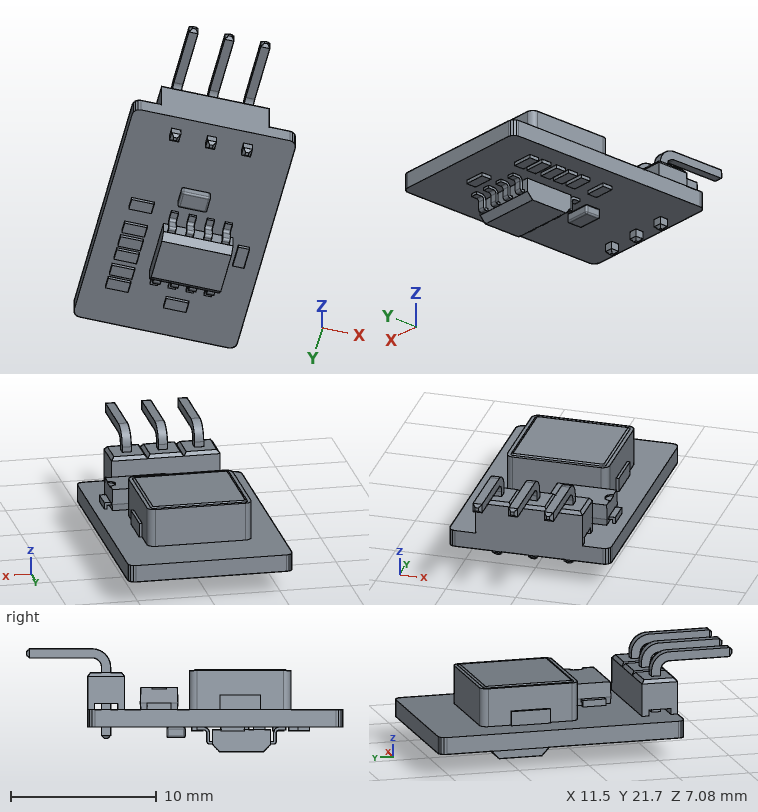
import cadquery as cq
import math


board_width = 11.54
board_length = 17.54
board_thickness = 1.2
board_corner_radius = 0.5
board_corner_facets = 4

pin_count = 3
pin_pitch = 2.54
pin_size = 0.64
pin_bend_radius = 1.5 * pin_size
pin_rise = 4.19
pin_reach_beyond_board = 4.2
pin_tail = 0.78
pin_tip_length = 0.22
pin_tip_inset = 0.2
header_height = 2.54
header_chamfer_height = 0.25
header_chamfer_inset = 0.2
header_slot_width = 1.58
header_slot_height = 0.42
header_y = pin_pitch / 2

inductor_width = 7.3
inductor_length = 6.97
inductor_height = 2.68
inductor_corner_radius = 0.5
inductor_y = 10.48
lid_inset = 0.26
lid_slope_inset = 0.15
lid_height = 0.08
lid_corner_radius = 0.2
terminal_span = 7.7
terminal_width = 2.78
terminal_height = 1.0

diode_x = 2.4
diode_y = 4.91
diode_width = 4.3
diode_length = 2.6
diode_height = 1.53
diode_split_height = 0.46
diode_draft_inset = 0.04
diode_lead_span = 5.2
diode_lead_width = 1.65
diode_lead_thickness = 0.2
diode_mark_radius = 0.5
diode_mark_depth = 0.1

ic_x = 0.91
ic_y = 10.57
ic_width = 4.92
ic_length = 4.0
ic_gap = 0.17
ic_depth = 1.69
ic_chamfer_depth = 0.51
ic_chamfer_inset = 0.48
ic_lead_count = 4
ic_lead_pitch = 1.27
ic_lead_width = 0.52
ic_lead_thickness = 0.2
ic_lead_depth = 1.17
ic_lead_bend_span = 4.78
ic_foot_span = 6.1
ic_lead_bend_radius = 0.2

capacitor_y = 6.07
capacitor_width = 2.03
capacitor_length = 1.27
capacitor_height = 0.72
capacitor_edge_radius = 0.13

chip_length = 1.6
chip_width = 0.8
chip_height = 0.26
chip_column_x = -3.36
chip_column_ys = [7.54, 9.53, 10.68, 11.79, 13.1, 14.21]
rear_chip_x = 0.9
rear_chip_y = 14.85
side_chip_x = 4.29
side_chip_y = 9.97


def block(width, length, height, x, y, z):
    """Box centred on (x, y) that stands on height z."""
    return cq.Workplane("XY").box(width, length, height, (True, True, False)).translate((x, y, z))


def frustum(width, length, height, inset, x, y, z):
    """Tapered block standing on z; its far end is smaller by the inset on every side.

    A negative height makes it taper downward."""
    return (
        cq.Workplane("XY", origin=(x, y, z))
        .rect(width, length)
        .workplane(offset=height)
        .rect(width - 2 * inset, length - 2 * inset)
        .loft(ruled=True)
    )


def make_board():
    """Board whose rounded corners are made of flat facets."""
    points = []
    corner_signs = [(1, 1), (-1, 1), (-1, -1), (1, -1)]
    for quarter, (sign_x, sign_y) in enumerate(corner_signs):
        centre_x = sign_x * (board_width / 2 - board_corner_radius)
        centre_y = board_length / 2 + sign_y * (board_length / 2 - board_corner_radius)
        for facet in range(board_corner_facets + 1):
            angle = math.pi / 2 * (quarter + facet / board_corner_facets)
            x = centre_x + board_corner_radius * math.cos(angle)
            y = centre_y + board_corner_radius * math.sin(angle)
            points.append((x, y))
    return cq.Workplane("XY").polyline(points).close().extrude(board_thickness)


def make_pin(x):
    """Square pin that rises through the board, bends forward and ends in tapered tips."""
    tip_size = pin_size - 2 * pin_tip_inset
    axis_z = board_thickness + pin_rise - pin_size / 2
    bend_z = axis_z - pin_bend_radius
    bend_y = header_y - pin_bend_radius
    tail_z = -pin_tail + pin_tip_length
    front_y = -pin_reach_beyond_board + pin_tip_length
    diagonal = pin_bend_radius * math.sqrt(0.5)
    path = (
        cq.Workplane("YZ", origin=(x, 0, 0))
        .moveTo(header_y, tail_z)
        .lineTo(header_y, bend_z)
        .threePointArc((bend_y + diagonal, bend_z + diagonal), (bend_y, axis_z))
        .lineTo(front_y, axis_z)
    )
    shaft = cq.Workplane("XY", origin=(x, header_y, tail_z)).rect(pin_size, pin_size).sweep(path)
    tail_tip = frustum(pin_size, pin_size, -pin_tip_length, pin_tip_inset, x, header_y, tail_z)
    front_tip = (
        cq.Workplane("XZ", origin=(x, front_y, axis_z))
        .rect(pin_size, pin_size)
        .workplane(offset=pin_tip_length)
        .rect(tip_size, tip_size)
        .loft(ruled=True)
    )
    return shaft.union(tail_tip).union(front_tip)


def make_header():
    """Header housing with a chamfered top over each pin and a slot beneath, plus its pins."""
    wall_height = header_height - header_chamfer_height
    housing_width = pin_count * pin_pitch
    pin_xs = [(i - (pin_count - 1) / 2) * pin_pitch for i in range(pin_count)]
    header = block(housing_width, pin_pitch, wall_height, 0, header_y, board_thickness)
    chamfer_z = board_thickness + wall_height
    for x in pin_xs:
        top = frustum(
            pin_pitch, pin_pitch, header_chamfer_height, header_chamfer_inset, x, header_y, chamfer_z
        )
        header = header.union(top)
    slot = block(housing_width, header_slot_width, header_slot_height, 0, header_y, board_thickness)
    header = header.cut(slot)
    for x in pin_xs:
        header = header.union(make_pin(x))
    return header


def make_inductor():
    """Rounded square inductor with a slightly raised lid and a terminal on each side."""
    top_z = board_thickness + inductor_height
    body = block(inductor_width, inductor_length, inductor_height, 0, inductor_y, board_thickness)
    body = body.edges("|Z").fillet(inductor_corner_radius)
    lid_width = inductor_width - 2 * lid_inset
    lid_length = inductor_length - 2 * lid_inset
    lid_taper = math.degrees(math.atan2(lid_slope_inset, lid_height))
    lid = (
        cq.Workplane("XY", origin=(0, inductor_y, top_z))
        .sketch()
        .rect(lid_width, lid_length)
        .vertices()
        .fillet(lid_corner_radius)
        .finalize()
        .extrude(lid_height, taper=lid_taper)
    )
    terminals = block(terminal_span, terminal_width, terminal_height, 0, inductor_y, board_thickness)
    return body.union(lid).union(terminals)


def make_diode():
    """Drafted diode body with a round polarity mark and a folded lead at each end."""
    split_z = board_thickness + diode_split_height
    upper_height = diode_height - diode_split_height
    body = frustum(
        diode_width, diode_length, upper_height, diode_draft_inset, diode_x, diode_y, split_z
    )
    lower = frustum(
        diode_width, diode_length, -diode_split_height, diode_draft_inset, diode_x, diode_y, split_z
    )
    mark = (
        cq.Workplane("XY", origin=(diode_x + diode_width / 2, diode_y, board_thickness + diode_height))
        .circle(diode_mark_radius)
        .extrude(-diode_mark_depth)
    )
    leads = block(
        diode_lead_span, diode_lead_width, diode_split_height, diode_x, diode_y, board_thickness
    )
    lead_opening = block(
        diode_lead_span - 2 * diode_lead_thickness,
        diode_lead_width,
        diode_split_height - diode_lead_thickness,
        diode_x,
        diode_y,
        board_thickness,
    )
    return leads.cut(lead_opening).union(body).union(lower).cut(mark)


def make_ic_lead_pair(x):
    """Opposite pair of leads: out of the body, up to the board and outward as feet."""
    half_body = ic_length / 2
    outer_y = ic_lead_bend_span / 2
    inner_y = outer_y - ic_lead_thickness
    foot_y = ic_foot_span / 2
    inner_z = -ic_lead_depth + ic_lead_thickness
    profile = [
        (half_body, -ic_lead_depth),
        (outer_y, -ic_lead_depth),
        (outer_y, -ic_lead_thickness),
        (foot_y, -ic_lead_thickness),
        (foot_y, 0),
        (inner_y, 0),
        (inner_y, inner_z),
        (half_body, inner_z),
    ]
    lead = (
        cq.Workplane("YZ", origin=(x - ic_lead_width / 2, 0, 0))
        .polyline(profile)
        .close()
        .extrude(ic_lead_width)
    )
    bends = [
        (outer_y, -ic_lead_depth, ic_lead_bend_radius),
        (outer_y, -ic_lead_thickness, ic_lead_bend_radius),
        (inner_y, 0, ic_lead_bend_radius + ic_lead_thickness),
    ]
    for bend_y, bend_z, radius in bends:
        bend_edge = cq.NearestToPointSelector((x, bend_y, bend_z))
        lead = lead.edges("|X").edges(bend_edge).fillet(radius)
    pair = lead.union(lead.mirror("XZ"))
    return pair.translate((0, ic_y, 0))


def make_ic():
    """IC body with sloped lower flanks, carried under the board by its leads."""
    half_length = ic_length / 2
    half_bottom = half_length - ic_chamfer_inset
    chamfer_z = -ic_depth + ic_chamfer_depth
    profile = [
        (-half_length, -ic_gap),
        (half_length, -ic_gap),
        (half_length, chamfer_z),
        (half_bottom, -ic_depth),
        (-half_bottom, -ic_depth),
        (-half_length, chamfer_z),
    ]
    ic = (
        cq.Workplane("YZ", origin=(ic_x - ic_width / 2, ic_y, 0))
        .polyline(profile)
        .close()
        .extrude(ic_width)
    )
    for i in range(ic_lead_count):
        lead_x = ic_x + (i - (ic_lead_count - 1) / 2) * ic_lead_pitch
        ic = ic.union(make_ic_lead_pair(lead_x))
    return ic


def make_capacitor():
    """Capacitor under the board with every edge rounded."""
    body = block(
        capacitor_width, capacitor_length, capacitor_height, 0, capacitor_y, -capacitor_height
    )
    return body.edges().fillet(capacitor_edge_radius)


def make_chips():
    """Column of small chips across X, one behind the IC and one turned along Y."""
    chips = block(chip_width, chip_length, chip_height, side_chip_x, side_chip_y, -chip_height)
    positions = [(chip_column_x, y) for y in chip_column_ys]
    positions.append((rear_chip_x, rear_chip_y))
    for x, y in positions:
        chips = chips.union(block(chip_length, chip_width, chip_height, x, y, -chip_height))
    return chips


result = (
    make_board()
    .union(make_header())
    .union(make_inductor())
    .union(make_diode())
    .union(make_ic())
    .union(make_capacitor())
    .union(make_chips())
)